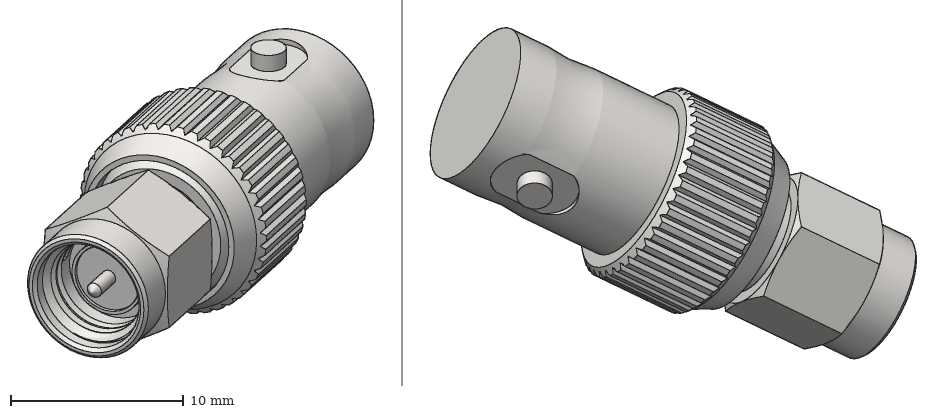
import cadquery as cq
import math

length = 28.17

barrel_radius = 3.902
barrel_chamfer = 0.2
nut_front = 2.45
nut_back = 8.42
nut_across_flats = 8.0
nut_front_chamfer_radius = barrel_radius
nut_back_chamfer_radius = nut_across_flats / 2
nut_chamfer_slope = 0.4
neck_radius = 6.55 / 2

bore_radius = 6.55 / 2
bore_mouth_radius = 3.5
bore_depth = 3.58
thread_entry_y = 0.9
thread_crest_radius = 2.85
thread_root_radius = 6.5 / 2
thread_pitch = 0.7
thread_start_y = 0.55
thread_turns = 3.3
thread_crest_width = 0.15
thread_start_angle = 300.0
thread_overlap = 0.05
tube_front_y = 2.7
tube_outer_radius = 4.5 / 2
tube_inner_radius = 4.1 / 2
insulator_y = 2.93
pin_radius = 0.9 / 2
pin_tip_y = 0.62
pin_tip_length = 0.42

grip_front = 9.55
cone_back = 11.07
grip_back = 17.18
grip_radius = 12.0 / 2
grip_chamfer = 0.42
cone_front_radius = 9.75 / 2
knurl_count = 42
knurl_depth = 0.25
knurl_width = 0.5

recess_radius = 9.05 / 2
hub_radius = 8.0 / 2

jack_radius = 9.58 / 2
bayonet_y = 24.05
bayonet_radius = 2.05 / 2
bayonet_height = 5.5
flat_height = 4.45
flat_length = 5.4
flat_end_radius = 1.92
waist_length = 3.25
waist_depth = 0.2


def revolve_about_y(points):
    """Solid of revolution about Y from a closed outline of (radius, y) points."""
    return cq.Workplane("XY").polyline(points).close().revolve(360, (0, 0, 0), (0, 1, 0))


def cylinder_along_y(radius, start, end):
    return revolve_about_y([(0, start), (radius, start), (radius, end), (0, end)])


def make_nut():
    """Hexagon with corners on +Z and -Z, its corners turned off by a cone at each end."""
    corner_radius = nut_across_flats / math.sqrt(3)
    corner_angles = [math.radians(60 * i) for i in range(6)]
    corners = [(corner_radius * math.sin(a), corner_radius * math.cos(a)) for a in corner_angles]
    hexagon = (
        cq.Workplane("XZ", origin=(0, nut_back, 0))
        .polyline(corners)
        .close()
        .extrude(nut_back - nut_front)
    )
    front_run = (corner_radius - nut_front_chamfer_radius) * nut_chamfer_slope
    back_run = (corner_radius - nut_back_chamfer_radius) * nut_chamfer_slope
    envelope = revolve_about_y([
        (0, nut_front),
        (nut_front_chamfer_radius, nut_front),
        (corner_radius, nut_front + front_run),
        (corner_radius, nut_back - back_run),
        (nut_back_chamfer_radius, nut_back),
        (0, nut_back),
    ])
    return hexagon.intersect(envelope)


def make_plug():
    barrel = revolve_about_y([
        (0, 0),
        (barrel_radius - barrel_chamfer, 0),
        (barrel_radius, barrel_chamfer),
        (barrel_radius, nut_front),
        (0, nut_front),
    ])
    neck = cylinder_along_y(neck_radius, nut_back, grip_front)
    return barrel.union(make_nut()).union(neck)


def make_bore():
    """Plug bore with 45 degree cones at its mouth and at the start of the thread."""
    return revolve_about_y([
        (0, 0),
        (bore_mouth_radius, 0),
        (bore_radius, bore_mouth_radius - bore_radius),
        (bore_radius, thread_entry_y),
        (thread_crest_radius, thread_entry_y + bore_radius - thread_crest_radius),
        (thread_crest_radius, bore_depth),
        (0, bore_depth),
    ])


def make_thread_groove():
    """Left-hand V groove swept along a helix that starts in front of the thread entry cone."""
    inner_radius = thread_crest_radius - thread_overlap
    flank_slope = (thread_pitch - thread_crest_width) / 2 / (thread_root_radius - thread_crest_radius)
    half_width = (thread_root_radius - inner_radius) * flank_slope
    helix = cq.Wire.makeHelix(
        thread_pitch,
        thread_turns * thread_pitch,
        thread_root_radius,
        center=cq.Vector(0, 0, 0),
        dir=cq.Vector(0, 0, 1),
        lefthand=True,
    )
    groove = (
        cq.Workplane("XZ")
        .polyline([(thread_root_radius, 0), (inner_radius, half_width), (inner_radius, -half_width)])
        .close()
        .sweep(helix, isFrenet=True)
    )
    return (
        groove.rotate((0, 0, 0), (0, 0, 1), thread_start_angle)
        .rotate((0, 0, 0), (1, 0, 0), -90)
        .translate((0, thread_start_y, 0))
    )


def make_contact():
    """Tube standing on the bore floor, its insulator set back inside it, and the pointed pin."""
    return revolve_about_y([
        (0, pin_tip_y),
        (pin_radius, pin_tip_y + pin_tip_length),
        (pin_radius, insulator_y),
        (tube_inner_radius, insulator_y),
        (tube_inner_radius, tube_front_y),
        (tube_outer_radius, tube_front_y),
        (tube_outer_radius, bore_depth),
        (0, bore_depth),
    ])


def make_grip():
    edge_radius = grip_radius - grip_chamfer
    grip = revolve_about_y([
        (0, grip_front),
        (cone_front_radius, grip_front),
        (edge_radius, cone_back),
        (grip_radius, cone_back + grip_chamfer),
        (grip_radius, grip_back - grip_chamfer),
        (edge_radius, grip_back),
        (0, grip_back),
    ])
    cone_slope = (cone_back - grip_front) / (edge_radius - cone_front_radius)
    recess_depth = (recess_radius - hub_radius) * cone_slope
    recess = revolve_about_y([
        (hub_radius, grip_front),
        (recess_radius, grip_front),
        (recess_radius, grip_front + recess_depth),
    ])
    return grip.cut(recess).cut(make_knurl_grooves())


def make_knurl_grooves():
    """V grooves along Y, knurl_width wide at the rim; a tooth is centred on +X."""
    root_radius = grip_radius - knurl_depth
    outside_radius = grip_radius + knurl_depth
    groove = (
        cq.Workplane("XZ", origin=(0, grip_back, 0))
        .polyline([(root_radius, 0), (outside_radius, knurl_width), (outside_radius, -knurl_width)])
        .close()
        .extrude(grip_back - cone_back)
    )
    pitch_angle = 360 / knurl_count
    grooves = cq.Workplane("XY")
    for i in range(knurl_count):
        grooves.add(groove.rotate((0, 0, 0), (0, 1, 0), (i + 0.5) * pitch_angle))
    return grooves.combine()


def make_flat_cutter():
    """Material above the +Z flat: a slot with round ends along Y."""
    return (
        cq.Workplane("XY", origin=(0, bayonet_y, flat_height))
        .slot2D(flat_length, 2 * flat_end_radius, 90)
        .extrude(jack_radius - flat_height)
    )


def make_waist_cutter():
    """Shallow hollow on the +X side, deepest halfway along the flats and fading out at its ends."""
    flat_half_width = math.sqrt(jack_radius**2 - flat_height**2)
    outside = jack_radius + waist_depth

    def section(y, side_radius):
        return (
            cq.Workplane("XZ", origin=(0, y, 0))
            .moveTo(flat_half_width, -flat_height)
            .threePointArc((side_radius, 0), (flat_half_width, flat_height))
            .lineTo(outside, flat_height)
            .lineTo(outside, -flat_height)
            .close()
            .wires()
            .val()
        )

    sections = [
        section(bayonet_y - waist_length / 2, jack_radius),
        section(bayonet_y, jack_radius - waist_depth),
        section(bayonet_y + waist_length / 2, jack_radius),
    ]
    return cq.Workplane("XY").add(cq.Solid.makeLoft(sections))


def make_jack():
    jack = cylinder_along_y(jack_radius, grip_back, length)
    waist = make_waist_cutter()
    flat = make_flat_cutter()
    jack = jack.cut(waist).cut(waist.mirror("YZ")).cut(flat).cut(flat.mirror("XY"))
    bayonet = (
        cq.Workplane("XY", origin=(0, bayonet_y, -bayonet_height))
        .circle(bayonet_radius)
        .extrude(2 * bayonet_height)
    )
    return jack.union(bayonet)


plug = make_plug().cut(make_bore()).cut(make_thread_groove()).union(make_contact())
result = plug.union(make_grip()).union(make_jack())